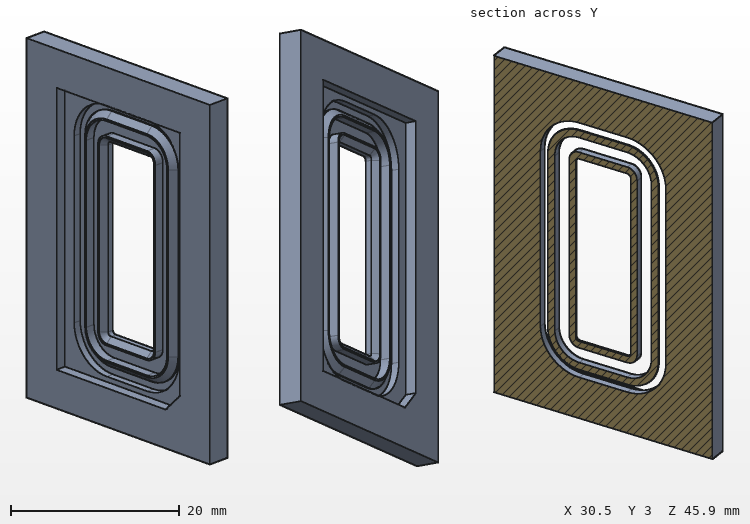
import cadquery as cq

width = 30.5
height = 45.85
thickness = 3.0

pocket_width = 20.5
pocket_height = 35.95
pocket_depth = 1.4
pocket_corner_cut = 2.4

corner_center_x = 3.35
corner_center_z = 11.92
window_radius = 0.45
seal_inner_radius = 1.4
seal_outer_radius = 3.35
outer_rib_radius = 4.4
recess_radius = 5.35

recess_floor = 2.45
seal_floor = 2.7
crest_width = 0.25
outer_bevel = outer_rib_radius - seal_outer_radius - crest_width
window_bevel = seal_inner_radius - crest_width - window_radius


def rounded_prism(radius, start, end):
    """Rounded rectangle around the common corner centres, from Y = start to Y = end."""
    return (
        cq.Workplane("XY")
        .box(
            2 * (corner_center_x + radius),
            end - start,
            2 * (corner_center_z + radius),
            centered=(True, False, True),
        )
        .translate((0, start, 0))
        .edges("|Y")
        .fillet(radius)
    )


def corner_cut_pocket():
    return (
        cq.Workplane("XY")
        .box(pocket_width, pocket_depth, pocket_height, centered=(True, False, True))
        .edges("|Y and >X and <Z")
        .chamfer(pocket_corner_cut)
    )


def outer_rib_block():
    """Rounded block with its front edge bevelled; the seal groove hollows it into a rib."""
    body = rounded_prism(outer_rib_radius, pocket_depth, recess_floor)
    body = body.faces("<Y").chamfer(outer_bevel)
    return body


def window_rib():
    """Block around the window; the window cut leaves it bevelled inwards."""
    return rounded_prism(seal_inner_radius, pocket_depth, seal_floor)


def bevelled_window():
    """Through window that widens towards the front along a 45 degree bevel."""
    bevel = rounded_prism(window_radius + window_bevel, 0, pocket_depth + window_bevel)
    bevel = bevel.faces(">Y").chamfer(window_bevel)
    return bevel.union(rounded_prism(window_radius, 0, thickness))


plate = cq.Workplane("XY").box(width, thickness, height, centered=(True, False, True))
plate = plate.cut(corner_cut_pocket())
plate = plate.cut(rounded_prism(recess_radius, pocket_depth, recess_floor))
plate = plate.union(outer_rib_block())
plate = plate.cut(rounded_prism(seal_outer_radius, pocket_depth, seal_floor))
plate = plate.union(window_rib())
result = plate.cut(bevelled_window())